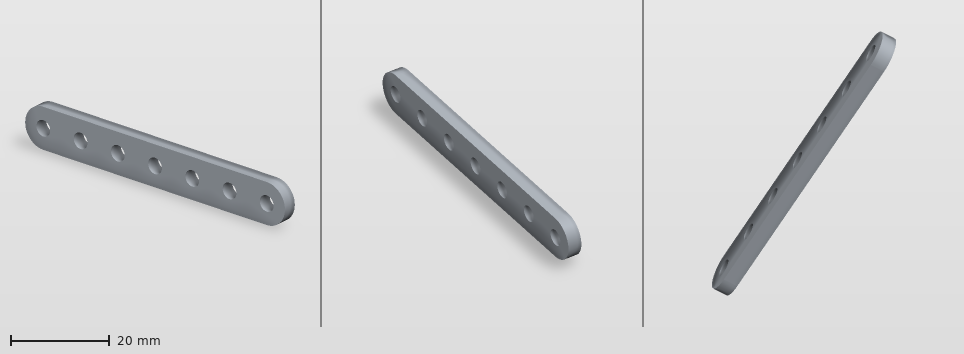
import cadquery as cq

length = 68.2
height = 9.55
thickness = 3.15

hole_count = 7
hole_diameter = 3.6
hole_pitch = (length - height) / (hole_count - 1)

bar = (
    cq.Workplane("XZ", origin=(0, thickness / 2, 0))
    .slot2D(length, height)
    .extrude(thickness)
)

result = (
    bar.faces("<Y")
    .workplane(centerOption="CenterOfBoundBox")
    .rarray(hole_pitch, 0.7, hole_count, 1)
    .hole(hole_diameter)
)